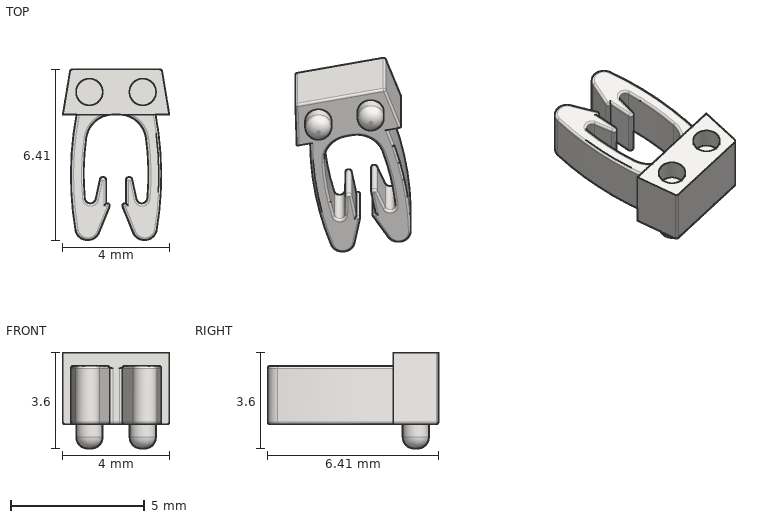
import cadquery as cq
import math

block_depth = 1.705
block_height = 2.69
front_half_width = 2.0
back_half_width = 1.72
edge_radius = 0.095

pin_diameter = 1.0
pin_length = 0.91
pin_end_radius = 0.45
pin_x = 1.0
pin_y = block_depth / 2
socket_depth = pin_length

arm_length = 6.41 - block_depth
arm_height = 2.2
arm_root_half_width = 1.49
arm_widest = (1.7, -2.18)
opening_flat_half_width = 0.12
bend_radius = 1.0
bend_end = (1.115, -0.88)

tip_outer = (1.525, -4.33)
tip_bottom = (1.065, -arm_length)
tip_inner = (0.635, -4.415)
barb_x = 0.185
barb_y = -3.32
barb_radius = 0.095
finger_inner_x = 0.365
finger_shoulder_y = -2.455
finger_end = (0.495, -2.335)
finger_outer_x = 0.615
slot_inner = (0.77, -3.165)
slot_bottom = (0.96, -3.32)
slot_outer = (1.165, -3.135)
opening_widest = (1.205, -2.05)


def make_block():
    """Tapered block with rounded back corners and a rounded lower rim."""
    outline = [
        (-front_half_width, 0),
        (front_half_width, 0),
        (back_half_width, block_depth),
        (-back_half_width, block_depth),
    ]
    block = cq.Workplane("XY").polyline(outline).close().extrude(block_height)
    block = block.edges("|Z and >Y").fillet(edge_radius)
    return block.faces("<Z").edges("not <Y").fillet(edge_radius)


def make_arm():
    """Right-hand arm, including the barb and the return finger, with its top rim rounded."""
    bend_angle = math.radians(45)
    bend_middle = (
        opening_flat_half_width + bend_radius * math.cos(bend_angle),
        -bend_radius + bend_radius * math.sin(bend_angle),
    )
    arm = (
        cq.Workplane("XY")
        .moveTo(opening_flat_half_width, 0)
        .lineTo(arm_root_half_width, 0)
        .threePointArc(arm_widest, tip_outer)
        .threePointArc(tip_bottom, tip_inner)
        .lineTo(barb_x, barb_y)
        .lineTo(finger_inner_x, barb_y)
        .lineTo(finger_inner_x, finger_shoulder_y)
        .threePointArc(finger_end, (finger_outer_x, finger_shoulder_y))
        .lineTo(*slot_inner)
        .threePointArc(slot_bottom, slot_outer)
        .threePointArc(opening_widest, bend_end)
        .threePointArc(bend_middle, (opening_flat_half_width, 0))
        .close()
        .extrude(arm_height)
    )
    barb_corner = cq.selectors.NearestToPointSelector((barb_x, barb_y, arm_height / 2))
    arm = arm.edges(barb_corner).fillet(barb_radius)
    return arm.faces(">Z").edges("not >Y").fillet(edge_radius)


def round_lower_rim(body):
    """Round the bottom edges of both arms and of the block between them."""
    margin = 0.005
    arm_zone = cq.selectors.BoxSelector(
        (-front_half_width, -arm_length, -margin),
        (front_half_width, -margin, margin),
    )
    opening_flat_zone = cq.selectors.BoxSelector(
        (-opening_flat_half_width, -margin, -margin),
        (opening_flat_half_width, margin, margin),
    )
    return body.faces("<Z").edges(arm_zone + opening_flat_zone).fillet(edge_radius)


def make_pin(x):
    """Round-ended pin, overlapping the block."""
    return (
        cq.Workplane("XY", origin=(x, pin_y, -pin_length))
        .circle(pin_diameter / 2)
        .extrude(pin_length + edge_radius)
        .faces("<Z")
        .edges()
        .fillet(pin_end_radius)
    )


def make_socket(x):
    """Cutter for a blind round socket in the top of the block."""
    return (
        cq.Workplane("XY", origin=(x, pin_y, block_height - socket_depth))
        .circle(pin_diameter / 2)
        .extrude(socket_depth)
    )


right_arm = make_arm()
left_arm = right_arm.mirror("YZ")
result = round_lower_rim(make_block().union(right_arm).union(left_arm))
for x in (-pin_x, pin_x):
    result = result.union(make_pin(x)).cut(make_socket(x))